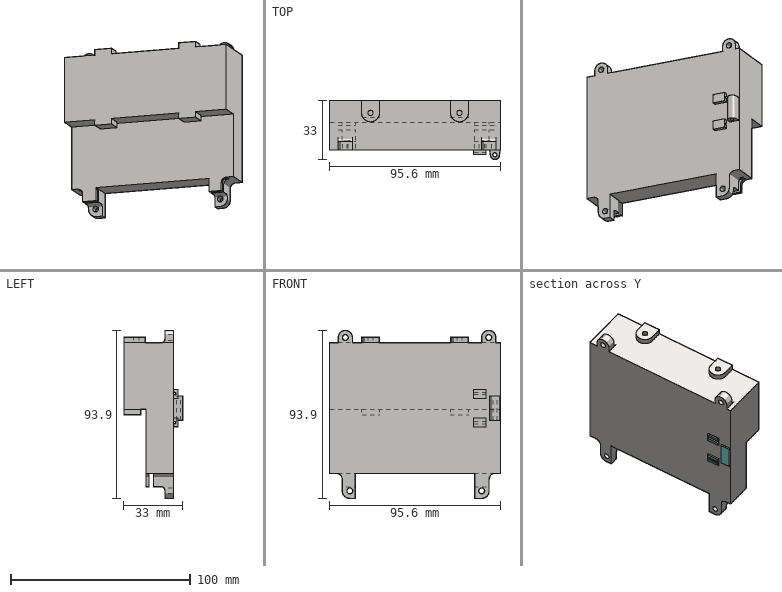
import cadquery as cq
import math

OVERLAP = 1.0

box_width = 95.6
box_height = 73.0
upper_depth = 27.8
lower_depth = 15.5
step_height = 35.85
mid_height = box_height / 2

tab_thickness = 5.0
screw_hole_diameter = 3.2
root_fillet = 2.0

ear_radius = 4.0
ear_hole_height = 2.9
ear_positions = (9.0, 89.0)

leg_sides = ((7.2, 14.5, 11.5), (89.3, 81.1, 85.1))
leg_length = 14.0
leg_hole_drop = 9.7
leg_outer_fillet = 3.2
leg_corner_radius = 4.3
leg_block_drop = 7.5
leg_slot_front = 11.3
leg_slot_back = 13.7

lug_positions = (23.0, 72.7)
lug_radius = 5.0
lug_height = 3.2
lug_hole_diameter = 3.0
lug_hole_inset = 7.0
lower_lug_depth = 9.6

clip_left = 80.4
clip_width = 7.2
clip_height = 5.0
clip_depth = 2.5
clip_spacing = 15.9
clip_groove_depth = 1.1
clip_groove_height = 1.2
clip_groove_corner = 0.8
clip_groove_offset = 0.43

hinge_x = 92.4
hinge_base_width = 5.9
hinge_radius = 2.6
hinge_offset = 2.6
hinge_length = 13.8
hinge_hole_diameter = 2.2


def block(x, y, z):
    """Box spanning the given (low, high) limits on each axis."""
    size = (x[1] - x[0], y[1] - y[0], z[1] - z[0])
    return cq.Workplane("XY").box(*size, centered=False).translate((x[0], y[0], z[0]))


def bore_along_y(x, z, diameter):
    """Cutter for a hole running front to back through the whole depth."""
    return cq.Workplane("XZ").center(x, z).circle(diameter / 2).extrude(-upper_depth)


def make_box():
    upper = block((0, box_width), (0, upper_depth), (step_height, box_height))
    lower = block((0, box_width), (0, lower_depth), (0, step_height))
    return upper.union(lower)


def make_ear(x):
    """Round-topped ear with a concave fillet where its back meets the top face."""
    hole_z = box_height + ear_hole_height
    ear = (
        cq.Workplane("XZ")
        .moveTo(x - ear_radius, box_height - OVERLAP)
        .lineTo(x - ear_radius, hole_z)
        .threePointArc((x, hole_z + ear_radius), (x + ear_radius, hole_z))
        .lineTo(x + ear_radius, box_height - OVERLAP)
        .close()
        .extrude(-tab_thickness)
    )
    root = (
        cq.Workplane("YZ", origin=(x - ear_radius, 0, 0))
        .moveTo(tab_thickness, box_height)
        .lineTo(tab_thickness, box_height + root_fillet)
        .radiusArc((tab_thickness + root_fillet, box_height), -root_fillet)
        .close()
        .extrude(2 * ear_radius)
    )
    return ear.union(root).cut(bore_along_y(x, hole_z, screw_hole_diameter))


def make_leg(outer_x, inner_x, hole_x):
    """Slotted leg whose thin foot carries the screw hole."""
    outward = math.copysign(1, outer_x - inner_x)
    turn = outward * leg_outer_fillet
    corner = outward * leg_corner_radius
    outline = (
        cq.Workplane("XZ")
        .moveTo(inner_x, OVERLAP)
        .lineTo(inner_x, -leg_length)
        .lineTo(outer_x - corner, -leg_length)
        .radiusArc((outer_x, -leg_length + leg_corner_radius), -corner)
        .lineTo(outer_x, -leg_outer_fillet)
        .radiusArc((outer_x + turn, 0), turn)
        .lineTo(outer_x + turn, OVERLAP)
        .close()
        .extrude(-lower_depth)
    )
    side_profile = (
        cq.Workplane("YZ")
        .moveTo(0, OVERLAP)
        .lineTo(0, -leg_length)
        .lineTo(tab_thickness, -leg_length)
        .lineTo(tab_thickness, -leg_block_drop - root_fillet)
        .radiusArc((tab_thickness + root_fillet, -leg_block_drop), root_fillet)
        .lineTo(leg_slot_front, -leg_block_drop)
        .lineTo(leg_slot_front, 0)
        .lineTo(leg_slot_back, 0)
        .lineTo(leg_slot_back, -leg_block_drop)
        .lineTo(lower_depth, -leg_block_drop)
        .lineTo(lower_depth, OVERLAP)
        .close()
        .extrude(box_width)
    )
    bore = bore_along_y(hole_x, -leg_hole_drop, screw_hole_diameter)
    return outline.intersect(side_profile).cut(bore)


def make_upper_lug(x):
    """Lug with a rounded front end and a vertical hole as deep as the lug."""
    hole_y = upper_depth - lug_hole_inset
    return (
        cq.Workplane("XY", origin=(0, 0, box_height))
        .moveTo(x - lug_radius, upper_depth)
        .lineTo(x - lug_radius, hole_y)
        .threePointArc((x, hole_y - lug_radius), (x + lug_radius, hole_y))
        .lineTo(x + lug_radius, upper_depth)
        .close()
        .moveTo(x, hole_y)
        .circle(lug_hole_diameter / 2)
        .extrude(lug_height)
    )


def make_lower_lug(x):
    return block(
        (x - lug_radius, x + lug_radius),
        (upper_depth - lower_lug_depth, upper_depth),
        (step_height - lug_height, step_height + OVERLAP),
    )


def make_clip(side):
    """Clip block above (side = 1) or below (side = -1) mid height, with a groove along X."""
    center_z = mid_height + side * clip_spacing / 2
    clip = block(
        (clip_left, clip_left + clip_width),
        (-clip_depth, 0),
        (center_z - clip_height / 2, center_z + clip_height / 2),
    )
    corner = side * clip_groove_corner
    groove = (
        cq.Workplane("YZ", origin=(clip_left, 0, center_z - side * clip_groove_offset))
        .lineTo(-clip_groove_depth, 0)
        .lineTo(-clip_groove_depth, side * clip_groove_height - corner)
        .radiusArc((clip_groove_corner - clip_groove_depth, side * clip_groove_height), corner)
        .lineTo(0, side * clip_groove_height)
        .close()
        .extrude(clip_width)
    )
    return clip.cut(groove)


def make_hinge():
    """Barrel joined to the front face by two flat sides tangent to it."""
    half_base = hinge_base_width / 2
    reach = math.hypot(half_base, hinge_offset)
    tangent_angle = math.atan2(hinge_offset, half_base) - math.acos(hinge_radius / reach)
    touch_x = hinge_radius * math.cos(tangent_angle)
    touch_y = hinge_radius * math.sin(tangent_angle) - hinge_offset
    return (
        cq.Workplane("XY", origin=(hinge_x, 0, mid_height - hinge_length / 2))
        .moveTo(-half_base, 0)
        .lineTo(-touch_x, touch_y)
        .threePointArc((0, -hinge_offset - hinge_radius), (touch_x, touch_y))
        .lineTo(half_base, 0)
        .close()
        .moveTo(0, -hinge_offset)
        .circle(hinge_hole_diameter / 2)
        .extrude(hinge_length)
    )


result = make_box().union(make_hinge())
for ear_x in ear_positions:
    result = result.union(make_ear(ear_x))
for leg in leg_sides:
    result = result.union(make_leg(*leg))
for lug_x in lug_positions:
    result = result.union(make_upper_lug(lug_x)).union(make_lower_lug(lug_x))
for clip_side in (1, -1):
    result = result.union(make_clip(clip_side))